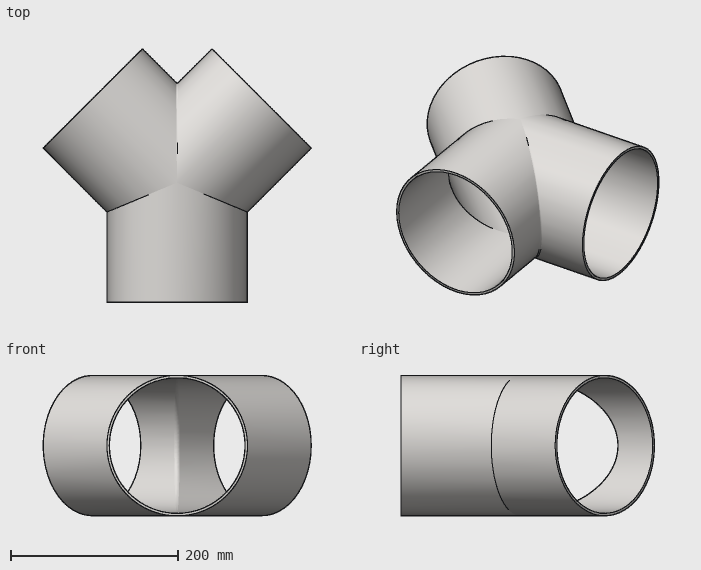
import cadquery as cq
import math

overall_width = 321.2
outer_diameter = 168.3
inner_diameter = 162.2
branch_angle = 45.0
crotch_outer_radius = 1.5

wall = (outer_diameter - inner_diameter) / 2
crotch_inner_radius = crotch_outer_radius + wall

outer_radius = outer_diameter / 2
corner_distance = overall_width / 2 / math.sin(math.radians(branch_angle))
leg_length = corner_distance - outer_radius
leg_angles = (180.0, branch_angle, -branch_angle)


def leg(diameter, angle):
    """Round bar from the junction centre along +Y, turned about Z by the angle."""
    bar = cq.Workplane("XZ").circle(diameter / 2).extrude(-leg_length)
    return bar.rotate((0, 0, 0), (0, 0, 1), angle)


def rounded_junction(diameter, crotch_radius):
    """Three bars joined at the centre, with the seam between the branches rounded."""
    body = leg(diameter, leg_angles[0])
    for angle in leg_angles[1:]:
        body = body.union(leg(diameter, angle))

    half_thickness = wall / 4
    seam = cq.selectors.BoxSelector(
        (-half_thickness, 0, -diameter),
        (half_thickness, overall_width, diameter),
    )
    return body.edges(seam).fillet(crotch_radius)


outside = rounded_junction(outer_diameter, crotch_outer_radius)
bore = rounded_junction(inner_diameter, crotch_inner_radius)
result = outside.cut(bore)